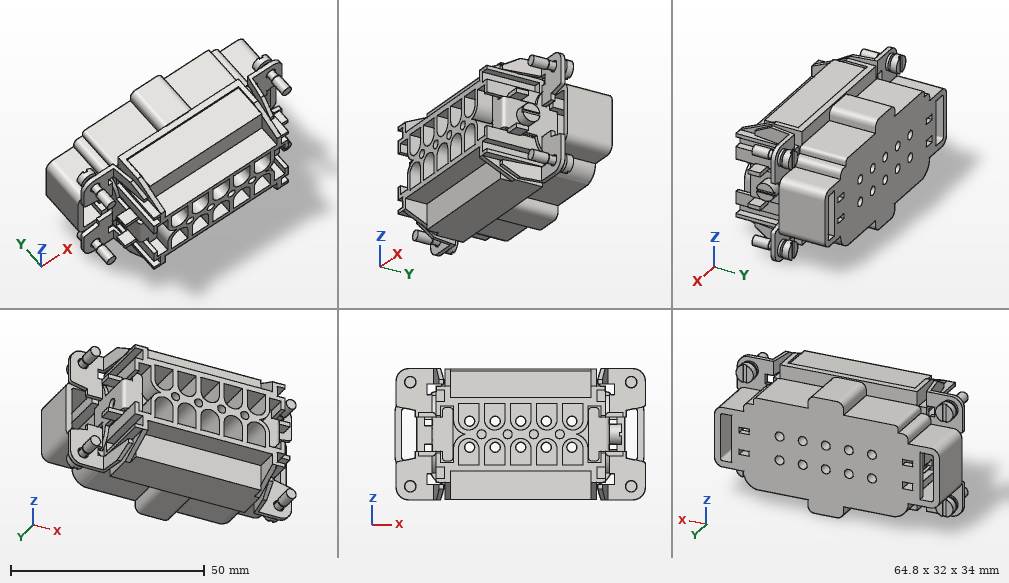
import cadquery as cq

rear_depth = 13.65
rear_left = -32.5
rear_right = 31.85
bump_half_width, bump_half_height, bump_radius = 5.1, 16.5, 1.95
middle_half_width, middle_half_height, middle_radius = 20.7, 13.0, 1.05
step_half_width, step_half_height, step_radius = 23.6, 11.0, 1.55
step_bottom_radius = 4.55
rear_end_half_height, rear_end_radius = 8.5, 2.45

end_wall = 1.75
loop_inner_x = 24.9
loop_half_height = 6.7
loop_radius = 0.65
window_high_z = 3.75
right_window_low_z, left_window_low_z = -3.95, -4.55
bar_thickness = 1.95
bar_outer_x = 26.95
bar_rib_low_z, bar_rib_high_z = -2.6, 2.2

front_depth = 18.3
front_half_width = 21.9
front_half_height = 12.45
shoulder_gap = 0.9
corner_groove_depth = 2.2
corner_groove_low_z, corner_groove_high_z = 8.5, 11.4
corner_groove_end_y = -2.3

shroud_half_width, shroud_half_height = 19.6, 16.9
shroud_slope_start = 8.35
shroud_back_wall = 1.9
shroud_side_wall = 1.4
shelf_z = 9.45
shelf_start_y = -11.85
top_plateau_drop = 0.6

contact_columns = 5
contact_pitch = 6.75
cavity_diameter = 5.3
cavity_center_z = 3.75
cavity_top_z = 7.9
cavity_wall = 1.2
contact_hole_diameter = 2.5
contact_hole_pitch = 6.6
contact_hole_z = 3.35
test_hole_diameter = 2.3

sheet = 1.2
web_thickness = 1.05
bracket_end_x = 32.25
bracket_half_height = 17.0
flange_y = -shoulder_gap
flange_corner_radius = 3.3
flange_outer_low_radius = 0.65
flange_step_x = 27.3
flange_outer_low_z, flange_step_z = 7.2, 6.15
flange_cutout_x = 24.2
flange_cutout_low_z = 10.2
wing_low_z = 12.95
wing_lean = 1.5
wing_root_overhang = 0.7
wing_tip_y = -13.15
wing_slope_y = -8.1
wing_tip_top_z = 14.2
web_half_height = 4.4
web_root_half_height = 10.0
web_root_back_y = 2.45
web_root_end_y = -3.7
web_root_arc_y, web_root_arc_z = -2.2, 8.2
web_notch_front_y = -1.95
web_notch_top_z = bar_rib_low_z
ear_end_x = 26.5
ear_front_y, ear_back_y = -12.1, -8.55
ear_bend_radius = web_thickness
lip_front_y = -13.85
lip_bend_radius = 1.05
lip_inner_x, lip_shoulder_x = 17.5, 20.3
lip_half_height = 6.9
lip_corner_radius = 1.0
ground_hole_diameter = 3.0
ground_y = -7.3
flange_hole_diameter = 3.0

pocket_mouth_half_height = 4.8
pocket_mouth_inner_x = 20.7
pocket_mouth_end_y = -3.7
pocket_inner_x = 17.35
pocket_half_height = 7.25

screw_x, screw_z = 28.55, 13.5
screw_head_diameter, screw_head_height = 5.0, 1.95
screw_head_y = 0.45
screw_slot_width, screw_slot_depth = 1.05, 0.45
washer_diameter, washer_thickness = 4.7, 0.7
neck_diameter, neck_end_y = 2.3, -4.3
tip_diameter, tip_end_y = 2.85, -9.0
ground_head_diameter, ground_head_height = 5.2, 3.1
ground_slot_width, ground_slot_depth = 0.8, 0.5

front_y = -front_depth
flange_front_y = flange_y - sheet
web_outer_x = front_half_width + web_thickness
lip_back_y = lip_front_y + sheet
bar_front_y = rear_depth - bar_thickness


def box(x_range, y_range, z_range):
    """A box given by its two limits along each axis."""
    size = [abs(b - a) for a, b in (x_range, y_range, z_range)]
    center = [(a + b) / 2 for a, b in (x_range, y_range, z_range)]
    return cq.Workplane("XY", origin=tuple(center)).box(*size)


def mirrored(shape, plane):
    """The shape joined to its mirror image."""
    return shape.union(shape.mirror(plane))


def rod(diameter, y_start, y_end, x=0, z=0):
    """A cylinder along Y."""
    disc = cq.Workplane("XZ", origin=(x, y_start, z)).circle(diameter / 2)
    return disc.extrude(y_start - y_end)


def rod_x(diameter, x_start, x_end, y):
    """A cylinder along X, at mid-height."""
    return cq.Workplane("YZ", origin=(x_start, y, 0)).circle(diameter / 2).extrude(x_end - x_start)


def make_rear_block():
    def tier(left, right, half_height, radius):
        slab = box((left, right), (0, rear_depth), (-half_height, half_height))
        return slab.edges("|Y").fillet(radius)

    block = tier(rear_left, rear_right, rear_end_half_height, rear_end_radius)
    for half_width, half_height, radius in (
        (middle_half_width, middle_half_height, middle_radius),
        (bump_half_width, bump_half_height, bump_radius),
    ):
        block = block.union(tier(-half_width, half_width, half_height, radius))

    step = box(
        (-step_half_width, step_half_width), (0, rear_depth), (-middle_half_height, step_half_height)
    )
    step = step.edges("|Y and >Z").fillet(step_radius)
    block = block.union(step.edges("|Y and <Z").fillet(step_bottom_radius))

    left_opening = make_end_opening(-rear_left, left_window_low_z).mirror("YZ")
    return block.cut(make_end_opening(rear_right, right_window_low_z)).cut(left_opening)


def make_end_opening(block_end_x, window_low_z):
    """The +X end's opening, less its bar, for a rear block that ends at block_end_x."""
    along = (0, rear_depth)
    loop = box((loop_inner_x, block_end_x - end_wall), along, (-loop_half_height, loop_half_height))
    window = box((front_half_width, loop_inner_x), along, (window_low_z, window_high_z))
    post = box(
        (loop_inner_x, bar_outer_x), (bar_front_y, rear_depth), (-loop_half_height, loop_half_height)
    )
    rib = box(
        (front_half_width, loop_inner_x),
        (bar_front_y, rear_depth),
        (bar_rib_low_z, bar_rib_high_z),
    )
    return loop.edges("|Y and >X").fillet(loop_radius).union(window).cut(post).cut(rib)


def make_shroud(plateau_z):
    """The upper shroud, with its inner plateau at the given height."""
    side_profile = [
        (0, 0),
        (0, shroud_half_height),
        (-shroud_slope_start, shroud_half_height),
        (front_y, front_half_height),
        (front_y, 0),
    ]
    shroud = cq.Workplane("YZ").polyline(side_profile).close().extrude(shroud_half_width, both=True)
    pocket_half_width = shroud_half_width - shroud_side_wall
    across = (-pocket_half_width, pocket_half_width)
    shroud = shroud.cut(box(across, (front_y, -shroud_back_wall), (shelf_z, shroud_half_height)))
    return shroud.union(box(across, (shelf_start_y, -shroud_back_wall), (shelf_z, plateau_z)))


def make_front_block():
    block = box(
        (-front_half_width, front_half_width), (front_y, 0), (-front_half_height, front_half_height)
    )
    shelf_half_width = shroud_half_width - shroud_side_wall
    shelf_cut = box(
        (-shelf_half_width, shelf_half_width), (front_y, shelf_start_y), (shelf_z, front_half_height)
    )
    block = block.cut(mirrored(shelf_cut, "XY"))
    gap = box(
        (shroud_half_width, front_half_width), (-shoulder_gap, 0), (-front_half_height, front_half_height)
    )
    block = block.cut(mirrored(gap, "YZ"))
    block = block.union(make_shroud(shroud_half_height - top_plateau_drop))
    block = block.union(make_shroud(shroud_half_height).mirror("XY"))

    groove = box(
        (front_half_width - corner_groove_depth, front_half_width),
        (front_y, corner_groove_end_y),
        (corner_groove_low_z, corner_groove_high_z),
    )
    return block.cut(mirrored(mirrored(groove, "YZ"), "XY"))


def make_lip_pocket():
    """The pocket at the +X end; it runs in between the walls of the last two cavities."""
    mouth = box(
        (pocket_mouth_inner_x, front_half_width),
        (front_y, pocket_mouth_end_y),
        (-pocket_mouth_half_height, pocket_mouth_half_height),
    )
    along = (front_y, lip_back_y)
    slot = box((pocket_inner_x, pocket_mouth_inner_x), along, (-pocket_half_height, pocket_half_height))
    last_cavity_x = contact_pitch * (contact_columns - 1) / 2
    notch = box((last_cavity_x, pocket_inner_x), along, (-cavity_center_z, cavity_center_z))
    for side in (-1, 1):
        cavity_jacket = rod(
            cavity_diameter + 2 * cavity_wall, lip_back_y, front_y, last_cavity_x, side * cavity_center_z
        )
        notch = notch.cut(cavity_jacket)
    return mouth.union(slot).union(notch)


def cut_contacts(block):
    middle = (contact_columns - 1) / 2
    for column in range(contact_columns):
        x = (column - middle) * contact_pitch
        arch = rod(cavity_diameter, 0, front_y, x, cavity_center_z)
        straight = box(
            (x - cavity_diameter / 2, x + cavity_diameter / 2),
            (front_y, 0),
            (cavity_center_z, cavity_top_z),
        )
        hole_x = (column - middle) * contact_hole_pitch
        hole = rod(contact_hole_diameter, rear_depth, 0, hole_x, contact_hole_z)
        block = block.cut(mirrored(arch.union(straight), "XY"))
        block = block.cut(mirrored(hole, "XY"))
    for gap in range(contact_columns - 1):
        x = (gap + 0.5 - middle) * contact_pitch
        block = block.cut(rod(test_hole_diameter, 0, front_y, x))
    return block


def make_flange():
    """The upper ear of the bracket that carries a mounting screw."""
    outline = [
        (web_outer_x, web_half_height),
        (flange_step_x, web_half_height),
        (flange_step_x, flange_step_z),
        (bracket_end_x, flange_outer_low_z),
        (bracket_end_x, bracket_half_height),
        (front_half_width, bracket_half_height),
        (front_half_width, wing_low_z),
        (flange_cutout_x, wing_low_z),
        (flange_cutout_x, flange_cutout_low_z),
        (web_outer_x, flange_cutout_low_z),
    ]
    flange = cq.Workplane("XZ", origin=(0, flange_y, 0)).polyline(outline).close().extrude(sheet)
    flange = flange.edges("|Y and >X and >Z").fillet(flange_corner_radius)
    outer_low_corner = cq.selectors.NearestToPointSelector((bracket_end_x, flange_y, flange_outer_low_z))
    flange = flange.edges("|Y").edges(outer_low_corner).fillet(flange_outer_low_radius)
    return flange.cut(rod(flange_hole_diameter, flange_y, flange_front_y, screw_x, screw_z))


def make_wing():
    """The leg bent forward from the flange beside the shroud, leaning inward."""
    wing_root_x = front_half_width + wing_root_overhang
    wing_outer_tip_x = wing_root_x - wing_lean
    plan = [
        (front_half_width, flange_y),
        (wing_outer_tip_x - sheet, wing_tip_y),
        (wing_outer_tip_x, wing_tip_y),
        (wing_root_x, flange_front_y),
        (wing_root_x, flange_y),
    ]
    wing = (
        cq.Workplane("XY", origin=(0, 0, wing_low_z))
        .polyline(plan)
        .close()
        .extrude(bracket_half_height - wing_low_z)
    )
    corner = [
        (wing_slope_y, bracket_half_height),
        (wing_tip_y, wing_tip_top_z),
        (wing_tip_y, bracket_half_height),
    ]
    return wing.cut(cq.Workplane("YZ").polyline(corner).close().extrude(bracket_end_x))


def make_web():
    """The sheet against the end of the front block, with the lip that hooks into the pocket."""
    root = (
        cq.Workplane("YZ", origin=(front_half_width, 0, 0))
        .moveTo(web_root_back_y, -web_root_half_height)
        .lineTo(0, -web_root_half_height)
        .threePointArc((web_root_arc_y, -web_root_arc_z), (web_root_end_y, -web_half_height))
        .lineTo(web_root_end_y, web_half_height)
        .threePointArc((web_root_arc_y, web_root_arc_z), (0, web_root_half_height))
        .lineTo(web_root_back_y, web_root_half_height)
        .close()
        .extrude(web_thickness)
    )
    tongue = box(
        (front_half_width, web_outer_x), (lip_front_y, 0), (-web_half_height, web_half_height)
    )
    along = (lip_front_y, lip_back_y)
    neck = box((lip_inner_x, front_half_width), along, (-web_half_height, web_half_height))
    hook = tongue.union(neck).edges("|Z and >X and <Y").fillet(lip_bend_radius)
    head = box((lip_inner_x, lip_shoulder_x), along, (-lip_half_height, lip_half_height))
    head = head.edges("|Y").fillet(lip_corner_radius)
    web = root.union(hook).union(head)

    ear = box(
        (front_half_width, ear_end_x), (ear_front_y, ear_back_y), (web_half_height, web_half_height + sheet)
    )
    ear = ear.edges("|Y and <X and >Z").fillet(ear_bend_radius)
    web = web.union(mirrored(ear, "XY"))
    return web.cut(rod_x(ground_hole_diameter, front_half_width, web_outer_x, ground_y))


def make_bracket():
    upper = make_flange().union(make_wing())
    return make_web().union(mirrored(upper, "XY"))


def make_insert():
    """The moulded insert, one solid with the brackets at its ends."""
    insert = make_rear_block().union(make_front_block())
    insert = insert.cut(mirrored(make_lip_pocket(), "YZ"))
    insert = cut_contacts(insert)
    bracket = make_bracket()
    web_notch = box(
        (front_half_width, web_outer_x),
        (web_notch_front_y, web_root_back_y),
        (-web_half_height, web_notch_top_z),
    )
    left_bracket = bracket.cut(web_notch).mirror("YZ")
    return insert.union(bracket).union(left_bracket)


def make_mounting_screw(x, z):
    """A slotted screw with its washer resting on the flange."""
    head_top_y = screw_head_y + screw_head_height
    head = rod(screw_head_diameter, head_top_y, screw_head_y, x, z)
    slot = box(
        (x - screw_slot_width / 2, x + screw_slot_width / 2),
        (head_top_y - screw_slot_depth, head_top_y),
        (z - screw_head_diameter, z + screw_head_diameter),
    )
    washer = rod(washer_diameter, flange_y + washer_thickness, flange_y, x, z)
    neck = rod(neck_diameter, screw_head_y, neck_end_y, x, z)
    tip = rod(tip_diameter, neck_end_y, tip_end_y, x, z)
    return head.cut(slot).union(washer).union(neck).union(tip)


def make_ground_screw():
    """The slotted earth screw in the web of the +X bracket."""
    head_end_x = web_outer_x + ground_head_height
    head = rod_x(ground_head_diameter, web_outer_x, head_end_x, ground_y)
    slot = box(
        (head_end_x - ground_slot_depth, head_end_x),
        (ground_y - ground_head_diameter, ground_y + ground_head_diameter),
        (-ground_slot_width / 2, ground_slot_width / 2),
    )
    shank = rod_x(ground_hole_diameter, front_half_width, web_outer_x, ground_y)
    return head.cut(slot).union(shank)


insert = make_insert()
mounting_screws = [
    make_mounting_screw(x, z) for x in (-screw_x, screw_x) for z in (-screw_z, screw_z)
]
ground_screw = make_ground_screw()

result = cq.Compound.makeCompound(
    [insert.val(), *[screw.val() for screw in mounting_screws], ground_screw.val()]
)